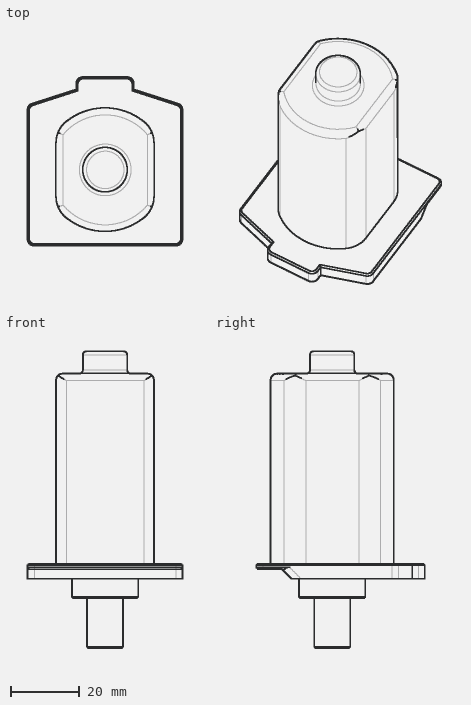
import cadquery as cq

body_height = 55.2
button_top = 61.6
flange_thickness = 4.4
lip_thickness = 1.55
collar_bottom = -10.1
shaft_bottom = -24.6

body_radius = 17.9
body_width = 28.45
button_radius = 6.5
collar_radius = 9.65
shaft_radius = 5.3

flange_width = 45.0
flange_front = -22.1
shoulder_y = 18.7
tab_width = 16.7
tab_root_y = 23.3
tab_end_y = 26.9
slope_start_y = -11.8

body_side_round = 8.0
body_top_round = 2.0
button_round = 1.0
flange_corner_round = 2.0
small_bevel = 0.5


def make_flange():
    """Pentagonal plate with a rear tab, thinned to a lip along its front edge."""
    half_width = flange_width / 2
    half_tab = tab_width / 2
    outline = [
        (-half_width, flange_front),
        (half_width, flange_front),
        (half_width, shoulder_y),
        (half_tab, tab_root_y),
        (half_tab, tab_end_y),
        (-half_tab, tab_end_y),
        (-half_tab, tab_root_y),
        (-half_width, shoulder_y),
    ]
    plate = cq.Workplane("XY").polyline(outline).close().extrude(-flange_thickness)

    slope_end_y = slope_start_y - (flange_thickness - lip_thickness)
    front_relief = (
        cq.Workplane("YZ")
        .moveTo(slope_start_y, -flange_thickness)
        .lineTo(slope_end_y, -lip_thickness)
        .lineTo(flange_front, -lip_thickness)
        .lineTo(flange_front, -flange_thickness)
        .close()
        .extrude(half_width, both=True)
    )
    plate = plate.cut(front_relief)

    plate = plate.edges("|Z and (<X or >X or >Y)").fillet(flange_corner_round)

    slope_sides = cq.selectors.ParallelDirSelector(cq.Vector(0, -1, 1))
    plate = plate.edges(slope_sides).fillet(flange_corner_round)
    plate = plate.faces(">Z").edges().chamfer(small_bevel)

    lip_edges = plate.faces("<Y").edges("<Z")
    return lip_edges.chamfer(small_bevel)


def make_body():
    """Cylinder with two flat sides, blended into the round ends."""
    flats = cq.Workplane("XY").rect(body_width, 2 * body_radius).extrude(body_height)
    column = cq.Workplane("XY").circle(body_radius).extrude(body_height).intersect(flats)
    top_rounded = column.faces(">Z").edges().fillet(body_top_round)
    side_rounded = column.edges("|Z").fillet(body_side_round)
    return top_rounded.intersect(side_rounded)


def make_button():
    """Round button on top, flared where it meets the body."""
    return (
        cq.Workplane("XZ")
        .moveTo(0, body_height - button_round)
        .lineTo(button_radius + button_round, body_height - button_round)
        .lineTo(button_radius + button_round, body_height)
        .radiusArc((button_radius, body_height + button_round), button_round)
        .lineTo(button_radius, button_top - button_round)
        .radiusArc((button_radius - button_round, button_top), -button_round)
        .lineTo(0, button_top)
        .close()
        .revolve(360, (0, 0), (0, 1))
    )


def make_lower_pin(radius, bottom):
    """Downward round pin with a bevelled lower edge."""
    pin = cq.Workplane("XY").circle(radius).extrude(bottom)
    return pin.faces("<Z").edges().chamfer(small_bevel)


collar = make_lower_pin(collar_radius, collar_bottom)
shaft = make_lower_pin(shaft_radius, shaft_bottom)

result = make_flange().union(make_body()).union(make_button()).union(collar).union(shaft)